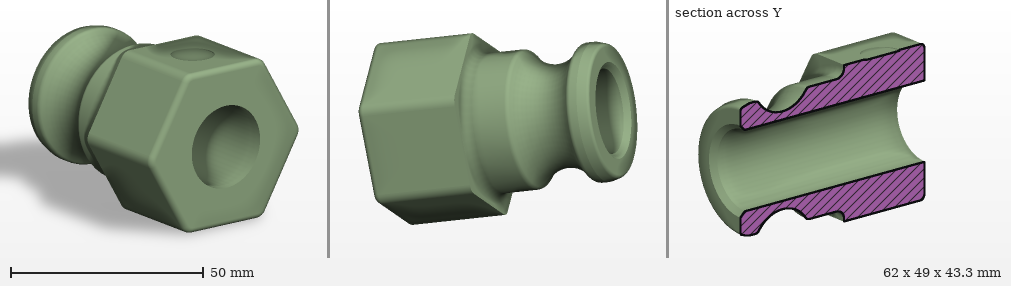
import cadquery as cq
import math

total_length = 61.98

hex_across_flats = 43.26
hex_start = 34.8
hex_corner_radius = 3.175
hex_end_radius = 1.52
shoulder_fillet_radius = 2.4

spigot_radius = 36.7 / 2
lip_taper_radius = 35.41 / 2
lip_edge_length = 0.72
lip_taper_end = 3.1
groove_center_x = 14.15
groove_floor_radius = 13.57
groove_arc_radius = 9.525
groove_edge_radius = 1.52

bore_diameter = 22.35
bore_mouth_chamfer = 1.52

label_diameter = 11.43
label_depth = 0.254
label_center_x = 47.7
label_center_y = 0.0


def make_hex_body():
    """Hexagonal prism along X with two flats facing +Z and -Z, rounded at its corners and +X end."""
    hex_across_corners = hex_across_flats / math.cos(math.pi / 6)
    return (
        cq.Workplane("YZ", origin=(hex_start, 0, 0))
        .polygon(6, hex_across_corners)
        .extrude(total_length - hex_start)
        .edges("|X")
        .fillet(hex_corner_radius)
        .faces(">X")
        .edges()
        .fillet(hex_end_radius)
    )


def make_spigot():
    """Revolved spigot with a cam groove whose edges blend tangentially into the cylinder."""
    groove_axis_radius = groove_floor_radius + groove_arc_radius
    blend_center_radius = spigot_radius - groove_edge_radius
    blend_distance = groove_arc_radius + groove_edge_radius
    center_drop = groove_axis_radius - blend_center_radius
    blend_offset = math.sqrt(blend_distance**2 - center_drop**2)

    tangent_share = groove_arc_radius / blend_distance
    tangent_offset = blend_offset * tangent_share
    tangent_radius = groove_axis_radius - center_drop * tangent_share

    half_angle = math.atan2(blend_offset, center_drop) / 2
    middle_offset = blend_offset - groove_edge_radius * math.sin(half_angle)
    middle_radius = blend_center_radius + groove_edge_radius * math.cos(half_angle)

    fillet_start = hex_start - shoulder_fillet_radius
    shoulder_radius = spigot_radius + shoulder_fillet_radius
    diagonal = shoulder_fillet_radius * math.sqrt(0.5)
    fillet_middle = (fillet_start + diagonal, shoulder_radius - diagonal)

    taper_rise = spigot_radius - lip_taper_radius
    taper_angle = math.atan2(taper_rise, lip_taper_end - lip_edge_length)
    lip_edge_radius = lip_edge_length / (1 - math.sin(taper_angle))
    lip_face_radius = lip_taper_radius - lip_edge_radius * math.cos(taper_angle)

    return (
        cq.Workplane("XY")
        .moveTo(0, 0)
        .lineTo(0, lip_face_radius)
        .tangentArcPoint((lip_edge_length, lip_taper_radius), relative=False)
        .lineTo(lip_taper_end, spigot_radius)
        .lineTo(groove_center_x - blend_offset, spigot_radius)
        .threePointArc(
            (groove_center_x - middle_offset, middle_radius),
            (groove_center_x - tangent_offset, tangent_radius),
        )
        .threePointArc(
            (groove_center_x, groove_floor_radius),
            (groove_center_x + tangent_offset, tangent_radius),
        )
        .threePointArc(
            (groove_center_x + middle_offset, middle_radius),
            (groove_center_x + blend_offset, spigot_radius),
        )
        .lineTo(fillet_start, spigot_radius)
        .threePointArc(fillet_middle, (hex_start, shoulder_radius))
        .lineTo(hex_start, 0)
        .close()
        .revolve(360, (0, 0, 0), (1, 0, 0))
    )


def make_bore():
    """Through bore with a conical mouth at the spigot end."""
    bore_radius = bore_diameter / 2
    return (
        cq.Workplane("XY")
        .moveTo(0, 0)
        .lineTo(0, bore_radius + bore_mouth_chamfer)
        .lineTo(bore_mouth_chamfer, bore_radius)
        .lineTo(total_length, bore_radius)
        .lineTo(total_length, 0)
        .close()
        .revolve(360, (0, 0, 0), (1, 0, 0))
    )


def make_label_recess():
    """Shallow disc cut into the top flat."""
    floor_height = hex_across_flats / 2 - label_depth
    return (
        cq.Workplane("XY", origin=(label_center_x, label_center_y, floor_height))
        .circle(label_diameter / 2)
        .extrude(label_depth)
    )


result = make_hex_body().union(make_spigot()).cut(make_bore()).cut(make_label_recess())